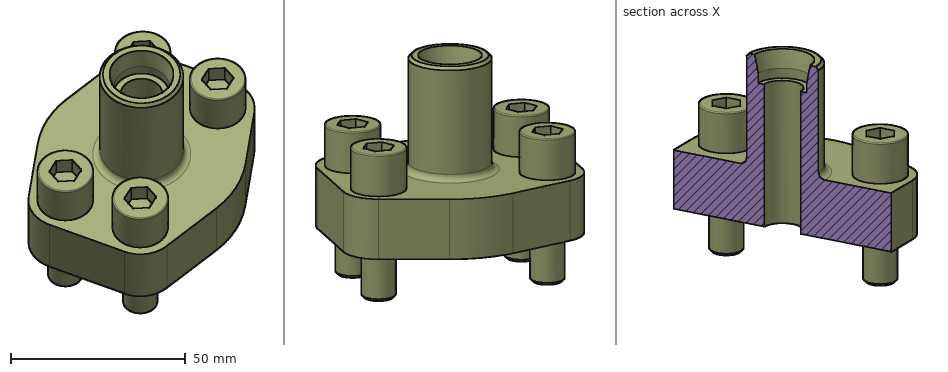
import cadquery as cq
import math

flange_length = 72.0
flange_width = 60.0
flange_thickness = 18.0

screw_spacing_x = 23.8
screw_spacing_y = 50.8
head_diameter = 16.0
head_height = 12.45
head_edge_fillet = 0.35
socket_across_flats = 8.0
socket_depth = 5.0
shank_diameter = 10.0
shank_protrusion = 14.55
shank_tip_chamfer = 0.9

stub_diameter = 24.0
stub_height = 34.0
stub_edge_chamfer = 0.9
stub_root_fillet = 2.0
bore_diameter = 12.0
seat_diameter = 16.0
seat_depth = 8.5
mouth_diameter = 18.3
mouth_half_angle = math.radians(12)

screw_x = screw_spacing_x / 2
screw_y = screw_spacing_y / 2
stub_top = flange_thickness + stub_height


def make_flange():
    """Plate with arcs at both sides, rounded corners and straight flanks tangent to both."""
    side_radius = flange_width / 2
    corner_radius = flange_length / 2 - screw_y

    centre_distance = math.hypot(screw_x, screw_y)
    centre_angle = math.atan2(screw_y, screw_x)
    flank_angle = centre_angle - math.acos((side_radius - corner_radius) / centre_distance)
    middle_angle = (flank_angle + math.pi / 2) / 2

    def corner_point(angle, sign_x, sign_y):
        x = screw_x + corner_radius * math.cos(angle)
        y = screw_y + corner_radius * math.sin(angle)
        return (sign_x * x, sign_y * y)

    def side_point(sign_x, sign_y):
        x = side_radius * math.cos(flank_angle)
        y = side_radius * math.sin(flank_angle)
        return (sign_x * x, sign_y * y)

    outline = cq.Workplane("XY").moveTo(*corner_point(math.pi / 2, -1, 1))
    for side in (1, -1):
        outline = (
            outline.lineTo(*corner_point(math.pi / 2, side, side))
            .threePointArc(corner_point(middle_angle, side, side), corner_point(flank_angle, side, side))
            .lineTo(*side_point(side, side))
            .threePointArc((side * side_radius, 0), side_point(side, -side))
            .lineTo(*corner_point(flank_angle, side, -side))
            .threePointArc(corner_point(middle_angle, side, -side), corner_point(math.pi / 2, side, -side))
        )
    return outline.close().extrude(flange_thickness)


def make_screw():
    """Screw on the Z axis, its head seated on top of the flange."""
    head = (
        cq.Workplane("XY", origin=(0, 0, flange_thickness))
        .circle(head_diameter / 2)
        .extrude(head_height)
        .faces(">Z")
        .fillet(head_edge_fillet)
    )
    shank = (
        cq.Workplane("XY", origin=(0, 0, -shank_protrusion))
        .circle(shank_diameter / 2)
        .extrude(shank_protrusion + flange_thickness)
        .faces("<Z")
        .chamfer(shank_tip_chamfer)
    )
    socket_across_corners = socket_across_flats / math.cos(math.pi / 6)
    socket = (
        cq.Workplane("XY", origin=(0, 0, flange_thickness + head_height))
        .transformed(rotate=(0, 0, 90))
        .polygon(6, socket_across_corners)
        .extrude(-socket_depth)
    )
    return head.union(shank).cut(socket)


def make_stub():
    """Solid tube stub with a chamfered rim and a concave fillet at its root."""
    radius = stub_diameter / 2
    root_z = flange_thickness + stub_root_fillet
    foot_radius = radius + stub_root_fillet
    fillet_offset = stub_root_fillet * (1 - math.sqrt(0.5))
    profile = (
        cq.Workplane("XZ")
        .lineTo(foot_radius, 0)
        .lineTo(foot_radius, flange_thickness)
        .threePointArc((radius + fillet_offset, flange_thickness + fillet_offset), (radius, root_z))
        .lineTo(radius, stub_top - stub_edge_chamfer)
        .lineTo(radius - stub_edge_chamfer, stub_top)
        .lineTo(0, stub_top)
        .close()
    )
    return profile.revolve(360, (0, 0, 0), (0, 1, 0))


def make_bore():
    """Through bore with a stepped seat that flares out to the mouth."""
    cone_depth = (mouth_diameter - seat_diameter) / 2 / math.tan(mouth_half_angle)
    profile = (
        cq.Workplane("XZ")
        .lineTo(bore_diameter / 2, 0)
        .lineTo(bore_diameter / 2, stub_top - seat_depth)
        .lineTo(seat_diameter / 2, stub_top - seat_depth)
        .lineTo(seat_diameter / 2, stub_top - cone_depth)
        .lineTo(mouth_diameter / 2, stub_top)
        .lineTo(0, stub_top)
        .close()
    )
    return profile.revolve(360, (0, 0, 0), (0, 1, 0))


result = make_flange().union(make_stub()).cut(make_bore())
for x in (-screw_x, screw_x):
    for y in (-screw_y, screw_y):
        result = result.union(make_screw().translate((x, y, 0)))